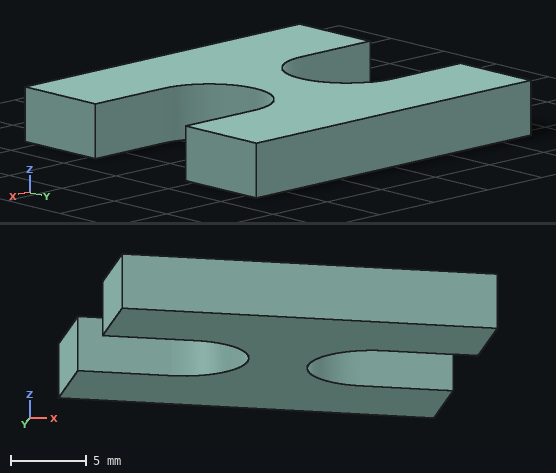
import cadquery as cq

length = 25.4
width = 22.1
thickness = 3.75

slot_width = 8.6
web_thickness = 4.11
slot_depth = (length - web_thickness) / 2


def open_slot(side):
    """Cutter centred on one end face (side is -1 or +1), its round end facing the middle."""
    return (
        cq.Workplane("XY")
        .center(side * length / 2, 0)
        .slot2D(2 * slot_depth, slot_width)
        .extrude(thickness)
    )


result = cq.Workplane("XY").box(length, width, thickness, centered=(True, True, False))
for side in (-1, 1):
    result = result.cut(open_slot(side))